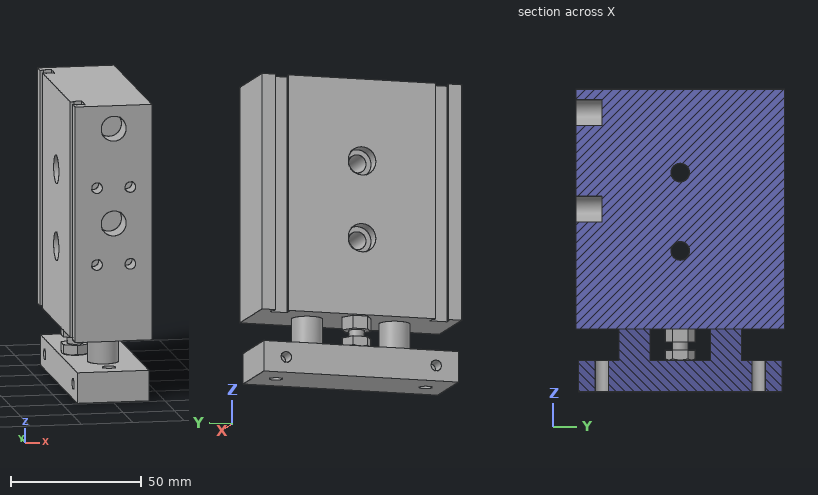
import cadquery as cq
import math

HOUSING_X = 30.0
HOUSING_Y = 80.0
HOUSING_Z = 92.0

PLATE_X = 28.0
PLATE_Y = 78.0
PLATE_Z = 12.0
STROKE_GAP = 12.0
ROD_DIAMETER = 12.0
ROD_SPACING = 35.0

PLATE_TOP = PLATE_Z
HOUSING_BOTTOM = PLATE_TOP + STROKE_GAP
HOUSING_TOP = HOUSING_BOTTOM + HOUSING_Z
HOUSING_LEFT = -HOUSING_X / 2
HOUSING_FRONT = -HOUSING_Y / 2

SLOT_SPACING = 64.0
SLOT_MOUTH_WIDTH = 5.2
SLOT_INNER_WIDTH = 6.7
SLOT_LIP = 1.5
SLOT_DEPTH = 4.6

MOUNT_DROPS = (32.0, 62.0)
MOUNT_DIAMETER = 7.0
MOUNT_BORE_DIAMETER = 11.0
MOUNT_BORE_DEPTH = 6.4
TAPPED_DIAMETER = 4.13
TAPPED_DEPTH = 8.0
TAPPED_SPACING = 13.0

PORT_DROPS = (9.0, 46.0)
PORT_DIAMETER = 9.73
PORT_DEPTH = 10.0

PLATE_HOLE_SPACING = 60.0
PLATE_BOLT_HOLE_DIAMETER = 5.0

STOPPER_X = -7.7
HEX_ACROSS_FLATS = 10.0
HEX_SIDES = 6
HEX_HALF_ANGLE = 180 / HEX_SIDES
HEX_ACROSS_CORNERS = HEX_ACROSS_FLATS / math.cos(math.radians(HEX_HALF_ANGLE))
HEAD_HEIGHT = 4.0
NUT_HEIGHT = 5.0
SHANK_DIAMETER = 6.0
SHANK_LENGTH = STROKE_GAP - HEAD_HEIGHT - NUT_HEIGHT
HEAD_END_DIAMETER = 9.3
HEAD_CHAMFER_ANGLE = math.radians(30)


def z_cylinder(diameter, height, x, y, z):
    """Upright cylinder whose lower end is centred on (x, y, z)."""
    return cq.Workplane("XY", origin=(x, y, z)).circle(diameter / 2).extrude(height)


def hole_from_left(diameter, depth, left_x, y, z):
    """Cutting cylinder that runs in +X from (left_x, y, z)."""
    return cq.Workplane("YZ", origin=(left_x, y, z)).circle(diameter / 2).extrude(depth)


def hole_from_front(diameter, depth, x, z):
    """Cutting cylinder that runs in +Y from the front of the housing."""
    plane = cq.Workplane("XZ", origin=(x, HOUSING_FRONT, z))
    return plane.circle(diameter / 2).extrude(-depth)


def block(size_x, size_y, size_z, left_x, y, bottom_z):
    """Box placed by its -X side, its middle in Y and its bottom."""
    box = cq.Workplane("XY").box(size_x, size_y, size_z, centered=(False, True, False))
    return box.translate((left_x, y, bottom_z))


def make_t_slot(y):
    mouth = block(SLOT_DEPTH, SLOT_MOUTH_WIDTH, HOUSING_Z, HOUSING_LEFT, y, HOUSING_BOTTOM)
    inner_x = HOUSING_LEFT + SLOT_LIP
    inner = block(SLOT_DEPTH - SLOT_LIP, SLOT_INNER_WIDTH, HOUSING_Z, inner_x, y, HOUSING_BOTTOM)
    return mouth.union(inner)


def make_housing():
    housing = block(HOUSING_X, HOUSING_Y, HOUSING_Z, HOUSING_LEFT, 0, HOUSING_BOTTOM)

    for side in (-1, 1):
        housing = housing.cut(make_t_slot(side * SLOT_SPACING / 2))

    for drop in MOUNT_DROPS:
        z = HOUSING_TOP - drop
        housing = housing.cut(hole_from_left(MOUNT_DIAMETER, HOUSING_X, HOUSING_LEFT, 0, z))
        housing = housing.cut(hole_from_left(MOUNT_BORE_DIAMETER, MOUNT_BORE_DEPTH, HOUSING_LEFT, 0, z))
        for side in (-1, 1):
            x = side * TAPPED_SPACING / 2
            housing = housing.cut(hole_from_front(TAPPED_DIAMETER, TAPPED_DEPTH, x, z))

    for drop in PORT_DROPS:
        housing = housing.cut(hole_from_front(PORT_DIAMETER, PORT_DEPTH, 0, HOUSING_TOP - drop))
    return housing


def make_rod_plate():
    plate_left = -PLATE_X / 2
    plate = block(PLATE_X, PLATE_Y, PLATE_Z, plate_left, 0, 0)
    for side in (-1, 1):
        rod = z_cylinder(ROD_DIAMETER, STROKE_GAP, 0, side * ROD_SPACING / 2, PLATE_TOP)
        plate = plate.union(rod)

        hole_y = side * PLATE_HOLE_SPACING / 2
        side_hole = hole_from_left(TAPPED_DIAMETER, TAPPED_DEPTH, plate_left, hole_y, PLATE_Z / 2)
        plate = plate.cut(side_hole)
        plate = plate.cut(z_cylinder(PLATE_BOLT_HOLE_DIAMETER, PLATE_Z, 0, hole_y, 0))
    return plate


def hex_prism(height, bottom_z):
    """Hexagon with two flats facing -X and +X."""
    hexagon = cq.Workplane("XY").polygon(HEX_SIDES, HEX_ACROSS_CORNERS).extrude(height)
    return hexagon.rotate((0, 0, 0), (0, 0, 1), HEX_HALF_ANGLE).translate((STOPPER_X, 0, bottom_z))


def head_chamfer_envelope():
    """Solid of revolution that bevels the lower edge of the head."""
    end_radius = HEAD_END_DIAMETER / 2
    corner_radius = HEX_ACROSS_CORNERS / 2
    bevel_height = (corner_radius - end_radius) * math.tan(HEAD_CHAMFER_ANGLE)
    profile = cq.Workplane("XZ").polyline([
        (0, 0),
        (end_radius, 0),
        (corner_radius, bevel_height),
        (corner_radius, HEAD_HEIGHT),
        (0, HEAD_HEIGHT),
    ]).close()
    return profile.revolve(360, (0, 0), (0, 1)).translate((STOPPER_X, 0, PLATE_TOP))


def make_stopper_bolt():
    head = hex_prism(HEAD_HEIGHT, PLATE_TOP).intersect(head_chamfer_envelope())
    shank_bottom = PLATE_TOP + HEAD_HEIGHT
    shank = z_cylinder(SHANK_DIAMETER, SHANK_LENGTH, STOPPER_X, 0, shank_bottom)
    nut = hex_prism(NUT_HEIGHT, HOUSING_BOTTOM - NUT_HEIGHT)
    return head.union(shank).union(nut)


housing = make_housing()
rod_plate = make_rod_plate()
stopper_bolt = make_stopper_bolt()

result = cq.Compound.makeCompound([housing.val(), rod_plate.val(), stopper_bolt.val()])